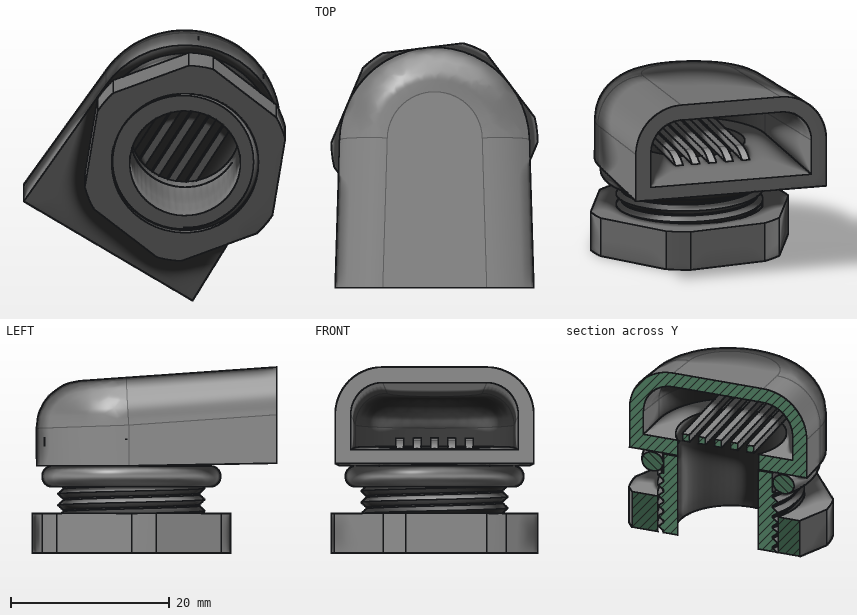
import cadquery as cq
import math


overall_length = 30.93

mouth_half_width = 12.55
back_radius = 12.0
mouth_top_z = 23.5
roof_slope = 4.0
base_z = 11.0
floor_slope = 1.0
roof_fillet = 6.0
wall = 1.98
cavity_floor_z = 13.02

bar_count = 5
bar_pitch = 2.2
bar_width = 1.0
bar_height = 1.02
bar_front_y = -10.2
bar_nose_radius = 6.0

thread_root_radius = 8.63
thread_crest_radius = 9.28
thread_pitch = 1.42
thread_crest_z = 5.7
thread_base_share = 0.98
thread_overlap = 0.1
bore_radius = 7.0

ring_section_radius = 1.33

nut_height = 5.0
nut_apothem = 12.0
nut_corner_radius = 13.05
nut_sides = 6
nut_turn = 7.1

side_angle = 360 / nut_sides
corner_half_angle = side_angle / 2 - math.degrees(math.acos(nut_apothem / nut_corner_radius))
nut_back_y = nut_corner_radius * math.sin(math.radians(nut_turn + side_angle + corner_half_angle))
mouth_y = nut_back_y - overall_length

ring_center_z = base_z - ring_section_radius
thread_top_z = ring_center_z - ring_section_radius
ring_radius = thread_root_radius + ring_section_radius
floor_rise = math.tan(math.radians(floor_slope))


def floor_z(y):
    """Height of the cavity floor at a given Y."""
    return cavity_floor_z + (y - mouth_y) * floor_rise


def hood_form(inset, bottom):
    """Round-backed tapering form with a sloped, filleted roof.

    inset is the distance inside the outer surface; bottom lists the (y, z)
    points of the underside from the mouth to the back.
    """
    radius = back_radius - inset
    half_width = mouth_half_width - inset
    corner_distance = math.hypot(half_width, mouth_y)
    tangent_angle = math.atan2(mouth_y, half_width) + math.acos(radius / corner_distance)
    tangent_x = radius * math.cos(tangent_angle)
    tangent_y = radius * math.sin(tangent_angle)
    plan = (
        cq.Workplane("XY")
        .moveTo(-half_width, mouth_y)
        .lineTo(half_width, mouth_y)
        .lineTo(tangent_x, tangent_y)
        .threePointArc((0, radius), (-tangent_x, tangent_y))
        .close()
        .extrude(mouth_top_z)
    )
    back_y = bottom[-1][0]
    roof_z = mouth_top_z - inset
    roof_back_z = roof_z - (back_y - mouth_y) * math.tan(math.radians(roof_slope))
    side = (
        cq.Workplane("YZ")
        .polyline(bottom + [(back_y, roof_back_z), (mouth_y, roof_z)])
        .close()
        .extrude(mouth_half_width, both=True)
    )
    form = plan.intersect(side)
    return form.faces(">Z").edges("not |X").fillet(roof_fillet - inset)


def make_thread():
    """Helical V ridge, trimmed to the neck between Z = 0 and the sealing ring."""
    inner_radius = thread_root_radius - thread_overlap
    turns_below = math.ceil(thread_crest_z / thread_pitch) + 1
    start_z = thread_crest_z - turns_below * thread_pitch
    length = (math.ceil((thread_top_z - start_z) / thread_pitch) + 1) * thread_pitch
    half_base = thread_base_share * thread_pitch / 2

    def helix(radius, z):
        return cq.Wire.makeHelix(thread_pitch, length, radius).translate(cq.Vector(0, 0, z))

    lower = helix(inner_radius, start_z - half_base)
    crest = helix(thread_crest_radius, start_z)
    upper = helix(inner_radius, start_z + half_base)
    flanks = [
        cq.Face.makeRuledSurface(lower, crest),
        cq.Face.makeRuledSurface(crest, upper),
        cq.Face.makeRuledSurface(upper, lower),
    ]
    ends = []
    for z in (start_z, start_z + length):
        corners = [
            cq.Vector(inner_radius, 0, z - half_base),
            cq.Vector(thread_crest_radius, 0, z),
            cq.Vector(inner_radius, 0, z + half_base),
        ]
        ends.append(cq.Face.makeFromWires(cq.Wire.makePolygon(corners, close=True)))
    ridge = cq.Solid.makeSolid(cq.Shell.makeShell(flanks + ends))
    trim = cq.Workplane("XY").circle(nut_corner_radius).extrude(thread_top_z)
    return trim.intersect(cq.Workplane(obj=ridge))


def make_guard_bar(x):
    """Bar lying on the cavity floor from a rounded nose to the back wall."""
    back_y = back_radius - wall / 2
    nose_angle = math.acos(1 - bar_height / bar_nose_radius)
    nose_length = bar_nose_radius * math.sin(nose_angle)
    top_y = bar_front_y + nose_length
    mid_y = top_y - bar_nose_radius * math.sin(nose_angle / 2)
    mid_drop = bar_nose_radius * (1 - math.cos(nose_angle / 2))
    return (
        cq.Workplane("YZ", origin=(x, 0, 0))
        .moveTo(bar_front_y, floor_z(bar_front_y))
        .threePointArc(
            (mid_y, floor_z(mid_y) + bar_height - mid_drop),
            (top_y, floor_z(top_y) + bar_height),
        )
        .lineTo(back_y, floor_z(back_y) + bar_height)
        .lineTo(back_y, floor_z(back_y))
        .close()
        .extrude(bar_width / 2, both=True)
    )


def make_hood():
    """Hollow hood with its threaded, bored neck and the guard bars."""
    mouth_base_z = base_z - mouth_y * floor_rise
    outside = hood_form(0, [(mouth_y, mouth_base_z), (0, base_z), (back_radius, base_z)])
    cavity = hood_form(wall, [(y, floor_z(y)) for y in (mouth_y, back_radius)])
    neck = cq.Workplane("XY").circle(thread_root_radius).extrude(base_z)
    bore = cq.Workplane("XY").circle(bore_radius).extrude(cavity_floor_z + wall)
    hood = outside.union(neck).cut(cavity).cut(bore).union(make_thread())
    for i in range(bar_count):
        hood = hood.union(make_guard_bar((i - (bar_count - 1) / 2) * bar_pitch))
    return hood


def make_ring():
    """O-ring seated on the neck under the hood."""
    return cq.Workplane(
        obj=cq.Solid.makeTorus(ring_radius, ring_section_radius, cq.Vector(0, 0, ring_center_z))
    )


def make_nut():
    """Hexagon nut with its corners turned to a cylinder, bored to the thread crest."""
    hexagon = (
        cq.Workplane("XY")
        .polygon(nut_sides, 2 * nut_apothem / math.cos(math.pi / nut_sides))
        .extrude(nut_height)
        .rotate((0, 0, 0), (0, 0, 1), nut_turn)
    )
    turned = cq.Workplane("XY").circle(nut_corner_radius).extrude(nut_height)
    return hexagon.intersect(turned).cut(
        cq.Workplane("XY").circle(thread_crest_radius).extrude(nut_height)
    )


hood = make_hood()
ring = make_ring()
nut = make_nut()

result = cq.Compound.makeCompound([hood.solids().val(), ring.val(), nut.solids().val()])